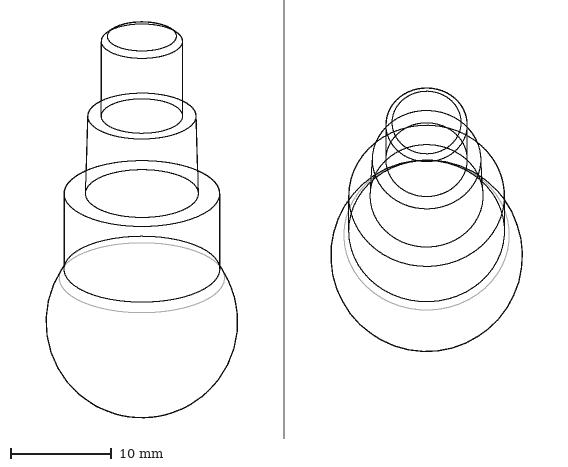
import cadquery as cq
import math

overall_height = 40.75
taper_top = 32.03
collar_top = 23.55
collar_bottom = 15.3
neck_bottom = 14.35

ball_radius = 9.515
collar_radius = 7.722
taper_bottom_radius = 5.605
taper_top_radius = 5.38
shank_radius = 4.05

chamfer_height = 0.55
chamfer_width = 0.6

neck_radius = math.sqrt(ball_radius**2 - (neck_bottom - ball_radius)**2)


def make_ball_body():
    """Ball with a conical neck and a cylindrical collar, revolved about Z."""
    profile = (
        cq.Workplane("XZ")
        .moveTo(0, 0)
        .threePointArc((ball_radius, ball_radius), (neck_radius, neck_bottom))
        .lineTo(collar_radius, collar_bottom)
        .lineTo(collar_radius, collar_top)
        .lineTo(0, collar_top)
        .close()
    )
    return profile.revolve(360, (0, 0), (0, 1))


def make_stud():
    """Tapered seat and straight shank with a chamfered tip, standing on the collar."""
    profile = (
        cq.Workplane("XZ")
        .moveTo(0, collar_top)
        .lineTo(taper_bottom_radius, collar_top)
        .lineTo(taper_top_radius, taper_top)
        .lineTo(shank_radius, taper_top)
        .lineTo(shank_radius, overall_height - chamfer_height)
        .lineTo(shank_radius - chamfer_width, overall_height)
        .lineTo(0, overall_height)
        .close()
    )
    return profile.revolve(360, (0, 0), (0, 1))


ball_body = make_ball_body()
stud = make_stud()

result = cq.Compound.makeCompound([ball_body.val(), stud.val()])